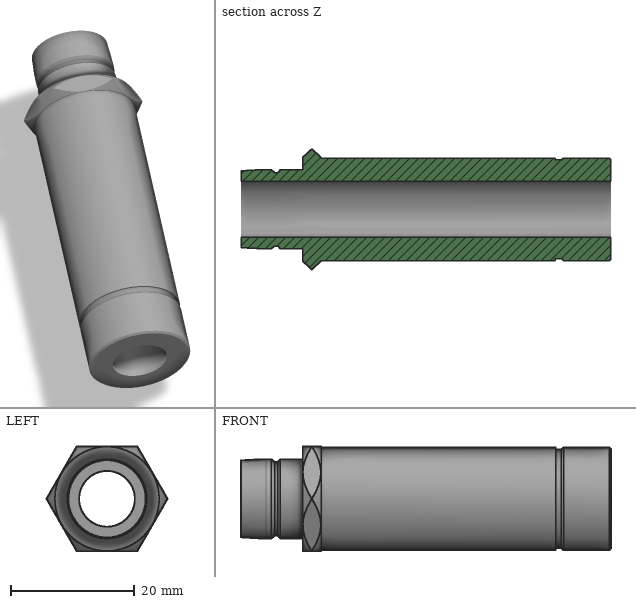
import cadquery as cq
import math

TOTAL_LENGTH = 60.0
NOSE_END = 4.0
NECK_GROOVE_START = 4.9
NECK_GROOVE_FLOOR_START = 5.5
NECK_GROOVE_FLOOR_END = 6.0
NECK_GROOVE_END = 6.4
HEX_START = 10.0
HEX_WIDTH = 3.0
HEX_END = HEX_START + HEX_WIDTH
BODY_GROOVE_START = 51.0
BODY_GROOVE_FLOOR_END = 51.95
BODY_GROOVE_END = 52.3
END_CHAMFER = 0.3

BORE_RADIUS = 4.5
NOSE_TIP_RADIUS = 6.25
NOSE_MID_RADIUS = 6.4
NECK_RADIUS = 6.45
NECK_GROOVE_RADIUS = 6.0
BODY_RADIUS = 8.35
BODY_GROOVE_RADIUS = BODY_RADIUS - END_CHAMFER
HEX_ACROSS_FLATS = 17.0
HEX_FACE_RADIUS = 8.45
HEX_ACROSS_CORNERS = HEX_ACROSS_FLATS / math.cos(math.pi / 6)


def revolve_about_x(profile):
    return profile.close().revolve(360, (0, 0, 0), (1, 0, 0))


def make_neck():
    """Neck with a curved nose and a sloped groove, running up to the hexagon."""
    profile = (
        cq.Workplane("XY")
        .lineTo(0, NOSE_TIP_RADIUS)
        .threePointArc((NOSE_END / 2, NOSE_MID_RADIUS), (NOSE_END, NECK_RADIUS))
        .lineTo(NECK_GROOVE_START, NECK_RADIUS)
        .lineTo(NECK_GROOVE_FLOOR_START, NECK_GROOVE_RADIUS)
        .lineTo(NECK_GROOVE_FLOOR_END, NECK_GROOVE_RADIUS)
        .lineTo(NECK_GROOVE_END, NECK_RADIUS)
        .lineTo(HEX_START, NECK_RADIUS)
        .lineTo(HEX_START, 0)
    )
    return revolve_about_x(profile)


def make_hexagon():
    """Hexagon whose chamfers on both faces meet at the corners."""
    prism = (
        cq.Workplane("YZ", origin=(HEX_START, 0, 0))
        .polygon(6, HEX_ACROSS_CORNERS)
        .extrude(HEX_WIDTH)
    )
    corner_radius = HEX_ACROSS_CORNERS / 2
    double_cone = (
        cq.Workplane("XY")
        .moveTo(HEX_START, 0)
        .lineTo(HEX_START, HEX_FACE_RADIUS)
        .lineTo(HEX_START + HEX_WIDTH / 2, corner_radius)
        .lineTo(HEX_END, HEX_FACE_RADIUS)
        .lineTo(HEX_END, 0)
    )
    return prism.intersect(revolve_about_x(double_cone))


def make_body():
    """Long sleeve with a shallow groove and a chamfered end."""
    profile = (
        cq.Workplane("XY")
        .moveTo(HEX_END, 0)
        .lineTo(HEX_END, BODY_RADIUS)
        .lineTo(BODY_GROOVE_START, BODY_RADIUS)
        .lineTo(BODY_GROOVE_START, BODY_GROOVE_RADIUS)
        .lineTo(BODY_GROOVE_FLOOR_END, BODY_GROOVE_RADIUS)
        .lineTo(BODY_GROOVE_END, BODY_RADIUS)
        .lineTo(TOTAL_LENGTH - END_CHAMFER, BODY_RADIUS)
        .lineTo(TOTAL_LENGTH, BODY_RADIUS - END_CHAMFER)
        .lineTo(TOTAL_LENGTH, 0)
    )
    return revolve_about_x(profile)


def make_bore():
    """Plain hole through the full length."""
    return cq.Workplane("YZ").circle(BORE_RADIUS).extrude(TOTAL_LENGTH)


result = make_neck().union(make_hexagon()).union(make_body()).cut(make_bore())